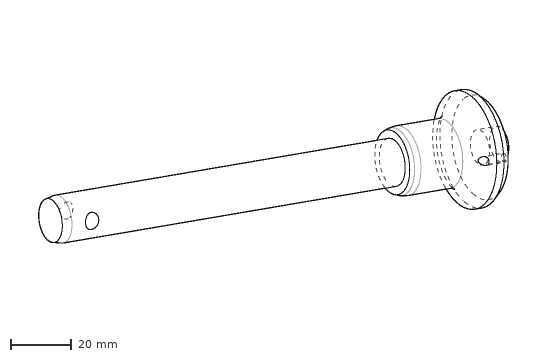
import cadquery as cq
import math

length = 176.2
tip_y = -length / 2
button_end_y = length / 2

button_radius = 6.0
button_height = 7.5

rim_diameter = 40.0
rim_radius = rim_diameter / 2
rim_top_radius = 17.6
rim_bevel_length = 3.2
rim_width = 2.8
neck_radius = 11.8
neck_length = 16.4
collar_bevel_radius = 11.5
collar_bevel_length = 2.3
collar_end_radius = 11.0
collar_end_length = 1.5

shank_radius = 8.1
tip_radius = 7.4
tip_taper_length = 3.3

ball_radius = 3.3
ball_reach = 9.3
ball_tip_distance = 11.3

hole_diameter = 3.0
hole_offset = 15.0

handle_top_y = button_end_y - button_height
rim_upper_y = handle_top_y - rim_bevel_length
rim_lower_y = rim_upper_y - rim_width
flare_radius = rim_radius - neck_radius
neck_top_y = rim_lower_y - flare_radius
neck_bottom_y = neck_top_y - neck_length
collar_y = neck_bottom_y - collar_bevel_length
handle_bottom_y = collar_y - collar_end_length

flare_offset = flare_radius * (1 - math.sqrt(0.5))
flare_middle = (neck_radius + flare_offset, rim_lower_y - flare_offset)


def make_body():
    """Button, handle and shank turned about the Y axis."""
    half_profile = (
        cq.Workplane("XY")
        .moveTo(0, tip_y)
        .lineTo(tip_radius, tip_y)
        .lineTo(shank_radius, tip_y + tip_taper_length)
        .lineTo(shank_radius, handle_bottom_y)
        .lineTo(collar_end_radius, handle_bottom_y)
        .lineTo(collar_bevel_radius, collar_y)
        .lineTo(neck_radius, neck_bottom_y)
        .lineTo(neck_radius, neck_top_y)
        .threePointArc(flare_middle, (rim_radius, rim_lower_y))
        .lineTo(rim_radius, rim_upper_y)
        .lineTo(rim_top_radius, handle_top_y)
        .lineTo(button_radius, handle_top_y)
        .lineTo(button_radius, button_end_y)
        .lineTo(0, button_end_y)
        .close()
    )
    return half_profile.revolve(360, (0, 0, 0), (0, 1, 0))


def make_ball(side):
    """Locking ball on the +X (side = 1) or -X (side = -1) flank."""
    center_x = side * (ball_reach - ball_radius)
    center_y = tip_y + ball_tip_distance
    return cq.Workplane("XY").sphere(ball_radius).translate((center_x, center_y, 0))


def make_lanyard_hole():
    """Cutter parallel to the axis, passing through the flare and rim."""
    hole_length = handle_top_y - neck_top_y
    return (
        cq.Workplane("XZ", origin=(hole_offset, handle_top_y, 0))
        .circle(hole_diameter / 2)
        .extrude(hole_length)
    )


result = make_body()
for side in (-1, 1):
    result = result.union(make_ball(side))
result = result.cut(make_lanyard_hole())